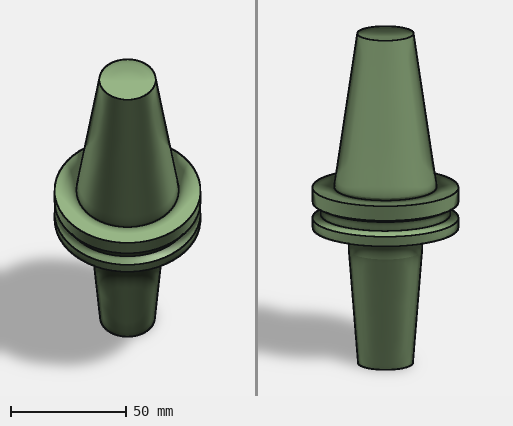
import cadquery as cq

TAPER_LENGTH = 68.25
GAUGE_DIAMETER = 44.45
TAPER_RATE = 7 / 24
PROJECTION = 80.0

FLANGE_DIAMETER = 63.5
FLANGE_TOP_DEPTH = 1.0
FLANGE_BOTTOM_DEPTH = 19.05

GROOVE_DIAMETER = 56.4
GROOVE_CENTRE_DEPTH = 11.1
GROOVE_FLOOR_WIDTH = 4.0
GROOVE_MOUTH_WIDTH = 7.2

NOSE_DIAMETER = 32.0
NOSE_TIP_DIAMETER = 24.0
NOSE_TAPER_LENGTH = 50.8

gauge_radius = GAUGE_DIAMETER / 2
taper_tip_radius = (GAUGE_DIAMETER - TAPER_LENGTH * TAPER_RATE) / 2
flange_radius = FLANGE_DIAMETER / 2
groove_radius = GROOVE_DIAMETER / 2
nose_radius = NOSE_DIAMETER / 2
nose_tip_radius = NOSE_TIP_DIAMETER / 2
nose_taper_start = NOSE_TAPER_LENGTH - PROJECTION


def turn(profile):
    """Revolve a closed (radius, z) outline a full turn about the Z axis."""
    return cq.Workplane("XZ").polyline(profile).close().revolve(360, (0, 0), (0, 1))


def make_body():
    """Taper shank, plain flange and tapered nose in one turned solid."""
    return turn([
        (0, TAPER_LENGTH),
        (taper_tip_radius, TAPER_LENGTH),
        (gauge_radius, 0),
        (gauge_radius, -FLANGE_TOP_DEPTH),
        (flange_radius, -FLANGE_TOP_DEPTH),
        (flange_radius, -FLANGE_BOTTOM_DEPTH),
        (nose_radius, -FLANGE_BOTTOM_DEPTH),
        (nose_radius, nose_taper_start),
        (nose_tip_radius, -PROJECTION),
        (0, -PROJECTION),
    ])


def make_gripper_groove():
    """Ring of material removed from the flange rim, with sloped side walls."""
    half_floor = GROOVE_FLOOR_WIDTH / 2
    half_mouth = GROOVE_MOUTH_WIDTH / 2
    return turn([
        (groove_radius, half_floor - GROOVE_CENTRE_DEPTH),
        (flange_radius, half_mouth - GROOVE_CENTRE_DEPTH),
        (flange_radius, -half_mouth - GROOVE_CENTRE_DEPTH),
        (groove_radius, -half_floor - GROOVE_CENTRE_DEPTH),
    ])


result = make_body().cut(make_gripper_groove())